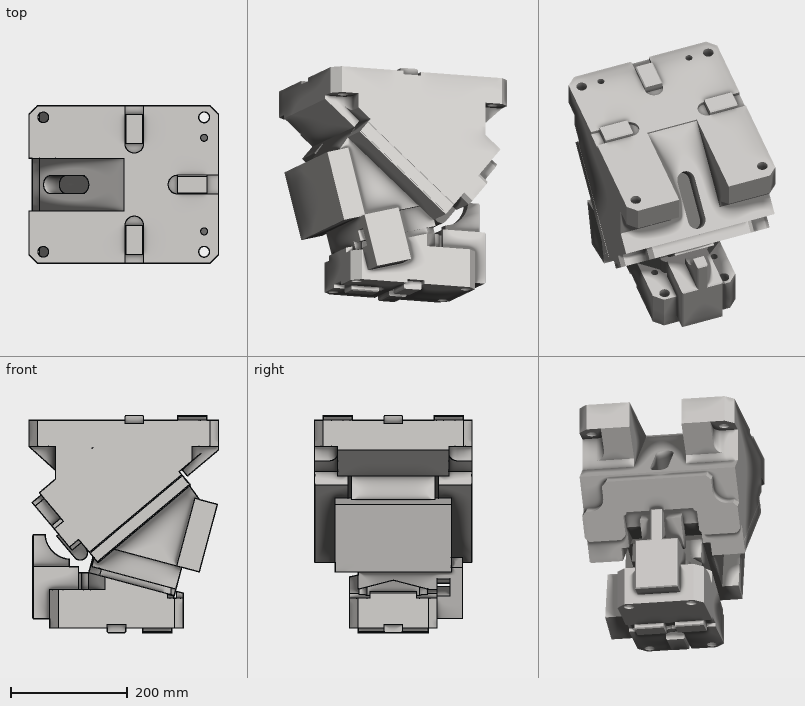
import cadquery as cq
import math


CAM_ANGLE = math.radians(40)
SLOPE_ANGLE = math.radians(15)
CORNER_CHAMFER = 15
SCREW_DIA = 18
DOWEL_DIA = 12
DOWEL_DEPTH = 30
KEY_WIDTH = 32
KEY_LENGTH = 50
KEY_PROUD = 8
KEY_SUNK = 6
KEY_CHAMFER = 2

DRIVER_LENGTH = 325
DRIVER_WIDTH = 270
TOP_Z = 364
PLATE_BOTTOM_Z = 319
WALL_X = 117
RELIEF_Y = 95
RELIEF_RADIUS = 15
GUSSET_FOOT_Z = 278
STRIP_END_Z = 313
STRIP_THICKNESS = 14
STRIP_LENGTH = 70
DRIVER_SCREW = (137.5, 115)
DRIVER_DOWEL_Y = 80
CROSS_KEY_X = 18
CROSS_KEY_START = 70
LONG_KEY_START = 92
SLOT_WIDTH = 90
SLOT_LIP = 3
NOSE_X = -144.5
NOSE_LENGTH = 133
SEAT_LENGTH = 206.5
SEAT_STEP = 6.6
GIB_INNER_Y = 77.5
GIB_THICKNESS = 23.5
GIB_GROOVE = 2
GIB_GROOVE_DEPTH = 1
OBROUND_LENGTH = 101
OBROUND_WIDTH = 31
OBROUND_DEPTH = 42
OBROUND_X = -98.5

NOSE_PLATE_THICKNESS = 20.3
NOSE_PLATE_TOP = 5
NOSE_PLATE_BOTTOM = 111.5
NECK_Y = 95
NECK_CHAMFER = 8
SHOULDER_DOWN = 57
SHOULDER_RADIUS = 24
SHOULDER_CHAMFER = 7
GAP_Y = 64
GAP_TOP = 62
GAP_RADIUS = 6
GAP_FLARE = 8
BRACKET_Y = 35.5
BRACKET_TOP = 76
BRACKET_THICKNESS = 25
BRACKET_TIP = 136.5
NOSE_NOTCH_Z = 166

BASE_LEFT = -127
BASE_RIGHT = 102
BASE_HALF_WIDTH = 75
BASE_BOTTOM_Z = KEY_PROUD
SHELF_Z = 74
SLOPE_X = -60
SLOPE_Z = 103
GUIDE_HALF_FRONT = 43
ANGLED_WALL_END_X = -32.5
PILLAR_X = -77
PILLAR_FILLET = 12
BACK_SHELF_X = 74.5
BACK_SHELF_Z = 59.5
LIP_X = 90
LIP_HALF_WIDTH = 40
LIP_Z = (71, 68)
RIDGE_HALF_WIDTH = 59
RIDGE_SIDE = 11.4
RIDGE_CHAMFER_LENGTH = 19.5
BASE_SCREW_Y = 54
BASE_SCREW_INSET = 14
BASE_DOWEL_X = -63
BASE_KEY_X = -12.5
BASE_CROSS_KEY_START = 10
BASE_LONG_KEY_START = 32.5

BLOCK_LEFT = -156.3
BLOCK_RIGHT = PILLAR_X
BLOCK_HALF_WIDTH = 37
BLOCK_Z = (24, 113)
BLOCK_CHAMFER = 2
FIN_HALF_WIDTH = 9.7
FIN_TOP_Z = 168
FIN_TOP_X = -134
FIN_ARC_START_Z = 164
FIN_ARC_MIDDLE = (-123.3, 141)
FIN_END = (-93, 126)

SLIDE_FRONT = 2.5
SLIDE_BACK = 151.6
SLIDE_STEP_HEIGHT = 49.9
SLIDE_LOWER_HALF = 60
SLIDE_UPPER_HALF = 71
BLOCK_BACK_START = 142.6
BACK_BLOCK_LENGTH = 40
BACK_BLOCK_HEIGHT = 120
BACK_BLOCK_HALF = 99.6
SLIDE_SHOULDER = 8
CLAW_FRONT = 87
CLAW_BOTTOM = -41
CLAW_OUTER_Y = 118.5
CLAW_ARM_Y = 97
CLAW_NOTCH = (-1, 11)
CLAW_NOTCH_BACK_TOP = 29.5
CLAW_NOTCH_BACK_START = 112


def nose_point(down, out):
    """XZ point at a distance down the nose face and out from it."""
    x = NOSE_X + down * math.sin(CAM_ANGLE) - out * math.cos(CAM_ANGLE)
    z = NOSE_Z - down * math.cos(CAM_ANGLE) - out * math.sin(CAM_ANGLE)
    return (x, z)


def slope_point(along, height):
    """XZ point at a distance along the base slope and above it."""
    x = SLOPE_X + along * math.cos(SLOPE_ANGLE) + height * math.sin(SLOPE_ANGLE)
    z = SLOPE_Z - along * math.sin(SLOPE_ANGLE) + height * math.cos(SLOPE_ANGLE)
    return (x, z)


def prism(points, y_low, y_high):
    """XZ polygon filling the part between two Y values."""
    plane = cq.Workplane("XZ", origin=(0, y_high, 0))
    return plane.polyline(points).close().extrude(y_high - y_low)


def wide_prism(points, half_width):
    return prism(points, -half_width, half_width)


def box(x, y, z):
    """Box from three (low, high) pairs."""
    size = (x[1] - x[0], y[1] - y[0], z[1] - z[0])
    return cq.Workplane("XY").box(*size, centered=False).translate((x[0], y[0], z[0]))


def drill(points, diameter, z_low, z_high):
    plane = cq.Workplane("XY", origin=(0, 0, z_low))
    return plane.pushPoints(points).circle(diameter / 2).extrude(z_high - z_low)


def key(start):
    """Key lying along +X from the given start, chamfered on its long upper edges."""
    body = box((start, start + KEY_LENGTH), (-KEY_WIDTH / 2, KEY_WIDTH / 2), (-KEY_SUNK, KEY_PROUD))
    return body.faces(">Z").edges("|X").chamfer(KEY_CHAMFER)


def keyway(start, end):
    """Channel along +X with a round end beyond the start of its key."""
    half = KEY_WIDTH / 2
    straight = box((start, end), (-half, half), (-KEY_SUNK, 0))
    return straight.union(drill([(start, 0)], KEY_WIDTH, -KEY_SUNK, 0))


SLOT_END_Z = TOP_Z - SLOT_LIP
NOSE_Z = SLOT_END_Z + NOSE_X * math.tan(CAM_ANGLE)
WALL_FOOT_Z = SLOT_END_Z - WALL_X * math.tan(CAM_ANGLE)
SEAT_END = nose_point(NOSE_LENGTH, -SEAT_LENGTH)
STEP_CORNER = nose_point(NOSE_LENGTH - SEAT_STEP, -SEAT_LENGTH)
WALL_STEP_Z = STEP_CORNER[1] + (WALL_X - STEP_CORNER[0]) * math.tan(CAM_ANGLE)


def driver_core():
    half = DRIVER_LENGTH / 2
    plate = box((-half, half), (-DRIVER_WIDTH / 2, DRIVER_WIDTH / 2), (PLATE_BOTTOM_Z, TOP_Z))
    plate = plate.edges("|Z").chamfer(CORNER_CHAMFER)
    wedge = [
        (-WALL_X, PLATE_BOTTOM_Z),
        (-WALL_X, WALL_FOOT_Z),
        nose_point(0, 0),
        nose_point(NOSE_LENGTH, 0),
        SEAT_END,
        STEP_CORNER,
        (WALL_X, WALL_STEP_Z),
        (WALL_X, PLATE_BOTTOM_Z),
    ]
    return plate.union(wide_prism(wedge, DRIVER_WIDTH / 2))


def gusset(side, profile):
    """Rib under the plate between two screw reliefs, with filleted inner corners."""
    end = DRIVER_LENGTH / 2
    r = RELIEF_RADIUS
    bend = r * (1 - math.sqrt(0.5))
    plan = (
        cq.Workplane("XY")
        .moveTo(side * end, -RELIEF_Y)
        .lineTo(side * (WALL_X + r), -RELIEF_Y)
        .threePointArc((side * (WALL_X + bend), -RELIEF_Y - bend), (side * WALL_X, -RELIEF_Y - r))
        .lineTo(side * WALL_X, RELIEF_Y + r)
        .threePointArc((side * (WALL_X + bend), RELIEF_Y + bend), (side * (WALL_X + r), RELIEF_Y))
        .lineTo(side * end, RELIEF_Y)
        .close()
        .extrude(TOP_Z)
    )
    return plan.intersect(wide_prism(profile, DRIVER_WIDTH / 2))


def gussets():
    end = DRIVER_LENGTH / 2
    front = [(-end, PLATE_BOTTOM_Z), (-WALL_X, GUSSET_FOOT_Z), (-WALL_X, PLATE_BOTTOM_Z)]
    ceiling_x = WALL_X + (PLATE_BOTTOM_Z - WALL_STEP_Z) / math.tan(CAM_ANGLE)
    back = [(WALL_X, WALL_STEP_Z), (ceiling_x, PLATE_BOTTOM_Z), (WALL_X, PLATE_BOTTOM_Z)]
    along = (math.cos(CAM_ANGLE), math.sin(CAM_ANGLE))
    low = (end - STRIP_LENGTH * along[0], STRIP_END_Z - STRIP_LENGTH * along[1])
    high = (low[0] - STRIP_THICKNESS * along[1], low[1] + STRIP_THICKNESS * along[0])
    strip = [
        (end, PLATE_BOTTOM_Z),
        (end, STRIP_END_Z),
        low,
        high,
        (WALL_X, WALL_STEP_Z),
        (WALL_X, PLATE_BOTTOM_Z),
    ]
    ribs = gusset(-1, front).union(gusset(1, back))
    return ribs.union(wide_prism(strip, RELIEF_Y))


def gib():
    """Guide strip on the sliding face at -Y, with a shallow groove along each long edge."""
    lower = NOSE_LENGTH + GIB_THICKNESS

    def band(top, bottom):
        return [
            nose_point(top, 0),
            nose_point(bottom, 0),
            nose_point(bottom, -SEAT_LENGTH),
            nose_point(top, -SEAT_LENGTH),
        ]

    outer = DRIVER_WIDTH / 2
    body = prism(band(NOSE_LENGTH, lower), -outer, -GIB_INNER_Y)
    groove_floor = -outer + GIB_GROOVE_DEPTH
    for top in (NOSE_LENGTH, lower - GIB_GROOVE):
        body = body.cut(prism(band(top, top + GIB_GROOVE), -outer, groove_floor))
    return body


def nose_plate():
    """Wide-footed plate on the nose face, with a central gap at its lower edge."""
    plane = cq.Plane(
        origin=(NOSE_X, 0, NOSE_Z),
        xDir=(0, 1, 0),
        normal=(-math.cos(CAM_ANGLE), 0, -math.sin(CAM_ANGLE)),
    )
    edge = DRIVER_WIDTH / 2
    arc_y = NECK_Y + SHOULDER_RADIUS
    bend = SHOULDER_RADIUS * (1 - math.sqrt(0.5))
    half = (
        cq.Workplane(plane)
        .moveTo(0, NOSE_PLATE_TOP)
        .lineTo(NECK_Y - NECK_CHAMFER, NOSE_PLATE_TOP)
        .lineTo(NECK_Y, NOSE_PLATE_TOP + NECK_CHAMFER)
        .lineTo(NECK_Y, SHOULDER_DOWN - SHOULDER_RADIUS)
        .threePointArc((NECK_Y + bend, SHOULDER_DOWN - bend), (arc_y, SHOULDER_DOWN))
        .lineTo(edge - SHOULDER_CHAMFER, SHOULDER_DOWN)
        .lineTo(edge, SHOULDER_DOWN + SHOULDER_CHAMFER)
        .lineTo(edge, NOSE_PLATE_BOTTOM - SHOULDER_CHAMFER)
        .lineTo(edge - SHOULDER_CHAMFER, NOSE_PLATE_BOTTOM)
        .lineTo(GAP_Y + GAP_FLARE, NOSE_PLATE_BOTTOM)
        .lineTo(GAP_Y, NOSE_PLATE_BOTTOM - GAP_FLARE)
        .lineTo(GAP_Y, GAP_TOP + GAP_RADIUS)
        .radiusArc((GAP_Y - GAP_RADIUS, GAP_TOP), -GAP_RADIUS)
        .lineTo(0, GAP_TOP)
        .close()
        .extrude(NOSE_PLATE_THICKNESS)
    )
    return half.union(half.mirror("XZ"))


def nose_bracket():
    """Round-ended bracket in the middle of the nose face."""
    arc_start = BRACKET_TIP - BRACKET_THICKNESS / 2
    profile = (
        cq.Workplane("XZ", origin=(0, BRACKET_Y, 0))
        .moveTo(*nose_point(BRACKET_TOP, 0))
        .lineTo(*nose_point(BRACKET_TOP, BRACKET_THICKNESS))
        .lineTo(*nose_point(arc_start, BRACKET_THICKNESS))
        .threePointArc(nose_point(BRACKET_TIP, BRACKET_THICKNESS / 2), nose_point(arc_start, 0))
        .close()
    )
    return profile.extrude(2 * BRACKET_Y)


def nose_notch():
    """Flat-topped notch that clears the slide's front end."""
    lift = (NOSE_NOTCH_Z - nose_point(NOSE_LENGTH, 0)[1]) / math.sin(CAM_ANGLE)
    seat = nose_point(NOSE_LENGTH, -lift)
    face = nose_point((NOSE_Z - NOSE_NOTCH_Z) / math.cos(CAM_ANGLE), 0)
    return wide_prism([face, seat, nose_point(NOSE_LENGTH, 0)], GAP_Y)


def front_slot():
    """Channel open at the front, with a floor at the cam angle."""
    beyond = -DRIVER_LENGTH
    floor_end = SLOT_END_Z + beyond * math.tan(CAM_ANGLE)
    channel = [(0, TOP_Z), (0, SLOT_END_Z), (beyond, floor_end), (beyond, TOP_Z)]
    return wide_prism(channel, SLOT_WIDTH / 2)


def floor_pocket():
    """Obround pocket square to the slot floor."""
    plane = cq.Plane(
        origin=(OBROUND_X, 0, SLOT_END_Z + OBROUND_X * math.tan(CAM_ANGLE)),
        xDir=(math.cos(CAM_ANGLE), 0, math.sin(CAM_ANGLE)),
        normal=(-math.sin(CAM_ANGLE), 0, math.cos(CAM_ANGLE)),
    )
    return cq.Workplane(plane).slot2D(OBROUND_LENGTH, OBROUND_WIDTH).extrude(-OBROUND_DEPTH)


def make_driver():
    body = driver_core().union(gussets()).cut(nose_notch())
    body = body.union(nose_plate()).union(nose_bracket())
    body = body.union(gib()).union(gib().mirror("XZ"))
    body = body.cut(front_slot()).cut(floor_pocket())

    screw_x, screw_y = DRIVER_SCREW
    screws = [(x, y) for x in (-screw_x, screw_x) for y in (-screw_y, screw_y)]
    body = body.cut(drill(screws, SCREW_DIA, PLATE_BOTTOM_Z, TOP_Z))
    dowels = [(screw_x, y) for y in (-DRIVER_DOWEL_Y, DRIVER_DOWEL_Y)]
    body = body.cut(drill(dowels, DOWEL_DIA, TOP_Z - DOWEL_DEPTH, TOP_Z))

    places = [
        (0, 0, LONG_KEY_START, DRIVER_LENGTH / 2),
        (90, CROSS_KEY_X, CROSS_KEY_START, DRIVER_WIDTH / 2),
        (-90, CROSS_KEY_X, CROSS_KEY_START, DRIVER_WIDTH / 2),
    ]
    for turn, x, start, end in places:
        for part, add in ((keyway(start, end), False), (key(start), True)):
            part = part.rotate((0, 0, 0), (0, 0, 1), turn).translate((x, 0, TOP_Z))
            body = body.union(part) if add else body.cut(part)
    return body


def slide_guide():
    """Gabled ridge along the base slope, narrowing to its front end."""
    peak = RIDGE_SIDE + RIDGE_HALF_WIDTH * math.tan(SLOPE_ANGLE)
    plane = cq.Plane(
        origin=(SLOPE_X, 0, SLOPE_Z),
        xDir=(0, 1, 0),
        normal=(math.cos(SLOPE_ANGLE), 0, -math.sin(SLOPE_ANGLE)),
    )
    outline = [
        (-RIDGE_HALF_WIDTH, 0),
        (-RIDGE_HALF_WIDTH, RIDGE_SIDE),
        (0, peak),
        (RIDGE_HALF_WIDTH, RIDGE_SIDE),
        (RIDGE_HALF_WIDTH, 0),
    ]
    ridge = cq.Workplane(plane).polyline(outline).close().extrude(SLIDE_BACK)
    plan_plane = cq.Plane(
        origin=(SLOPE_X, 0, SLOPE_Z),
        xDir=(math.cos(SLOPE_ANGLE), 0, -math.sin(SLOPE_ANGLE)),
        normal=(math.sin(SLOPE_ANGLE), 0, math.cos(SLOPE_ANGLE)),
    )
    plan = [
        (0, -GUIDE_HALF_FRONT),
        (RIDGE_CHAMFER_LENGTH, -RIDGE_HALF_WIDTH),
        (SLIDE_BACK, -RIDGE_HALF_WIDTH),
        (SLIDE_BACK, RIDGE_HALF_WIDTH),
        (RIDGE_CHAMFER_LENGTH, RIDGE_HALF_WIDTH),
        (0, GUIDE_HALF_FRONT),
    ]
    return ridge.intersect(cq.Workplane(plan_plane).polyline(plan).close().extrude(peak))


def raised_plan():
    """Plan of the raised part: a front pillar, then angled walls out to full width."""
    r = PILLAR_FILLET
    half = [
        (BASE_RIGHT, BASE_HALF_WIDTH),
        (ANGLED_WALL_END_X, BASE_HALF_WIDTH),
        (SLOPE_X, GUIDE_HALF_FRONT),
    ]
    other = [(x, -y) for x, y in reversed(half)]
    inner_y = GUIDE_HALF_FRONT - r
    return (
        cq.Workplane("XY")
        .polyline(half)
        .radiusArc((SLOPE_X - r, inner_y), -r)
        .lineTo(PILLAR_X, inner_y)
        .lineTo(PILLAR_X, -inner_y)
        .lineTo(SLOPE_X - r, -inner_y)
        .radiusArc(other[0], -r)
        .lineTo(*other[1])
        .lineTo(*other[2])
        .close()
        .extrude(TOP_Z)
    )


def base_core():
    wide = (-BASE_HALF_WIDTH, BASE_HALF_WIDTH)
    shelf = box((BASE_LEFT, 0), wide, (BASE_BOTTOM_Z, SHELF_Z))
    shelf = shelf.union(box((0, BASE_RIGHT), wide, (BASE_BOTTOM_Z, BACK_SHELF_Z)))
    shelf = shelf.edges("|Z and (<X or >X)").chamfer(CORNER_CHAMFER)
    slope_end_z = SLOPE_Z - (BACK_SHELF_X - SLOPE_X) * math.tan(SLOPE_ANGLE)
    raised = [
        (PILLAR_X, BACK_SHELF_Z),
        (PILLAR_X, SLOPE_Z),
        (SLOPE_X, SLOPE_Z),
        (BACK_SHELF_X, slope_end_z),
        (BACK_SHELF_X, BACK_SHELF_Z),
    ]
    upper = wide_prism(raised, BASE_HALF_WIDTH).intersect(raised_plan()).union(slide_guide())
    lip = [
        (LIP_X, BACK_SHELF_Z),
        (LIP_X, LIP_Z[0]),
        (BASE_RIGHT, LIP_Z[1]),
        (BASE_RIGHT, BACK_SHELF_Z),
    ]
    return shelf.union(upper).union(wide_prism(lip, LIP_HALF_WIDTH))


def stop_block():
    """Block on the front of the base, topped by a fin with a hollow curved edge."""
    wide = (-BLOCK_HALF_WIDTH, BLOCK_HALF_WIDTH)
    block = box((BLOCK_LEFT, BLOCK_RIGHT), wide, BLOCK_Z)
    fin = (
        cq.Workplane("XZ", origin=(0, FIN_HALF_WIDTH, 0))
        .moveTo(BLOCK_LEFT, BLOCK_Z[0])
        .lineTo(BLOCK_LEFT, FIN_TOP_Z)
        .lineTo(FIN_TOP_X, FIN_TOP_Z)
        .lineTo(FIN_TOP_X, FIN_ARC_START_Z)
        .threePointArc(FIN_ARC_MIDDLE, FIN_END)
        .lineTo(FIN_END[0], BLOCK_Z[0])
        .close()
        .extrude(2 * FIN_HALF_WIDTH)
    )
    return block.union(fin).faces("<X").edges().chamfer(BLOCK_CHAMFER)


def make_base():
    body = base_core().union(stop_block())

    screws = [
        (x, y)
        for x in (BASE_LEFT + BASE_SCREW_INSET, BASE_RIGHT - BASE_SCREW_INSET)
        for y in (-BASE_SCREW_Y, BASE_SCREW_Y)
    ]
    body = body.cut(drill(screws, SCREW_DIA, BASE_BOTTOM_Z, TOP_Z))
    dowels = [(BASE_DOWEL_X, y) for y in (-BASE_SCREW_Y, BASE_SCREW_Y)]
    body = body.cut(drill(dowels, DOWEL_DIA, SHELF_Z - DOWEL_DEPTH, SHELF_Z))

    places = [
        (0, 0, BASE_LONG_KEY_START, BASE_RIGHT),
        (90, BASE_KEY_X, BASE_CROSS_KEY_START, BASE_HALF_WIDTH),
        (-90, BASE_KEY_X, BASE_CROSS_KEY_START, BASE_HALF_WIDTH),
    ]
    channels = [set_key(keyway(start, end), turn, x) for turn, x, start, end in places]
    keys = [set_key(key(start), turn, x) for turn, x, start, end in places]
    for channel in channels:
        body = body.cut(channel)
    for item in keys:
        body = body.union(item)
    return body


def set_key(part, turn, x):
    """Turn a key or its channel about Z and hang it under the base."""
    hung = part.mirror("XY").rotate((0, 0, 0), (0, 0, 1), turn)
    return hung.translate((x, 0, BASE_BOTTOM_Z))


def slope_block(along, height):
    """Rectangle in the slope frame, from (low, high) pairs along and above the slope."""
    a, b = along
    low, high = height
    return [slope_point(a, low), slope_point(b, low), slope_point(b, high), slope_point(a, high)]


def make_slide():
    step = SLIDE_STEP_HEIGHT
    back_top = step + BACK_BLOCK_HEIGHT
    nose_tip = nose_point(NOSE_LENGTH, 0)
    tip_along = (
        (nose_tip[0] - SLOPE_X) * math.cos(SLOPE_ANGLE)
        - (nose_tip[1] - SLOPE_Z) * math.sin(SLOPE_ANGLE)
    )
    front_lift = (SLIDE_FRONT - tip_along) / math.cos(CAM_ANGLE + SLOPE_ANGLE)
    outline = [
        nose_point(NOSE_LENGTH, -front_lift),
        SEAT_END,
        slope_point(BLOCK_BACK_START + SLIDE_SHOULDER, back_top),
        slope_point(SLIDE_BACK, step),
        slope_point(SLIDE_BACK, RIDGE_SIDE),
        slope_point(SLIDE_FRONT, RIDGE_SIDE),
    ]
    lower = wide_prism(outline, SLIDE_LOWER_HALF)
    beyond = (-SLIDE_BACK, 2 * SLIDE_BACK)
    above_step = wide_prism(slope_block(beyond, (step, 2 * back_top)), SLIDE_UPPER_HALF)
    upper = wide_prism(outline, SLIDE_UPPER_HALF).intersect(above_step)

    back_span = (BLOCK_BACK_START, BLOCK_BACK_START + BACK_BLOCK_LENGTH)
    back_block = wide_prism(slope_block(back_span, (step, back_top)), BACK_BLOCK_HALF)

    claw_span = (CLAW_FRONT, SLIDE_BACK)
    claw = prism(slope_block(claw_span, (CLAW_BOTTOM, step)), BASE_HALF_WIDTH, CLAW_OUTER_Y)
    claw = claw.cut(prism(slope_block(claw_span, CLAW_NOTCH), BASE_HALF_WIDTH, CLAW_ARM_Y))
    back_notch = slope_block((CLAW_NOTCH_BACK_START, SLIDE_BACK), (CLAW_NOTCH[1], CLAW_NOTCH_BACK_TOP))
    claw = claw.cut(prism(back_notch, BASE_HALF_WIDTH, CLAW_ARM_Y))
    claw = claw.union(
        prism(slope_block(claw_span, (CLAW_NOTCH[1], step)), SLIDE_LOWER_HALF, BASE_HALF_WIDTH)
    )
    return lower.cut(slide_guide()).union(upper).union(back_block).union(claw)


driver = make_driver()
slide = make_slide()
base = make_base()
result = cq.Compound.makeCompound([body.solids().val() for body in (driver, slide, base)])